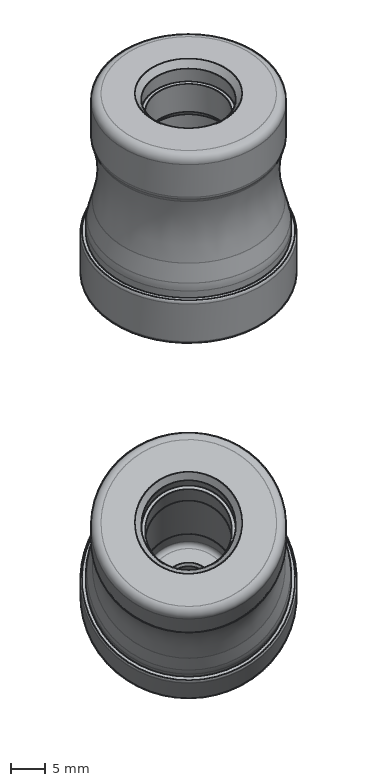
import cadquery as cq
import math

base_diameter = 31.75
base_radius = base_diameter / 2
base_height = 8.4
base_top_curve_radius = 0.6
base_top_curve_angle = math.radians(56)
base_bottom_fillet = 0.7

total_height = 34.92
head_radius = 14.3
head_bottom_z = 27.17
head_top_fillet = 1.45
head_underside_fillet = 1.8
waist_radius = 13.35
waist_z = 20.43
waist_curve_radius = 24.45
waist_curve_top_z = 26.1
shoulder_radius = 15.1
shoulder_bottom_z = 9.78
shoulder_fillet = 5.45
flare_angle = math.radians(14.5)

mouth_radius = 7.85
mouth_chamfer_depth = 1.1
counterbore_radius = 6.9
counterbore_depth = 3.6
bore_radius = 6.35
bore_depth = 8.97
cavity_radius = 6.9
cavity_cone_angle = math.radians(30)
cavity_cone_height = (cavity_radius - bore_radius) / math.tan(cavity_cone_angle)

recess_floor_z = 4.2
recess_floor_fillet = 0.85
hole_radius = 3.45
hole_chamfer = 0.42


def waist_point(angle):
    """Radius and height on the concave waist, at an angle above the waist centre."""
    radius = waist_radius + waist_curve_radius * (1 - math.cos(angle))
    return radius, waist_z + waist_curve_radius * math.sin(angle)


def convex_point(radius, level, curve_radius, angle):
    """Point reached after turning inward by an angle from a vertical wall."""
    inset = curve_radius * (1 - math.cos(angle))
    return radius - inset, level + curve_radius * math.sin(angle)


def make_knob():
    top_angle = math.asin((waist_curve_top_z - waist_z) / waist_curve_radius)
    head = (head_radius, head_bottom_z)
    head_mid = convex_point(*head, head_underside_fillet, -top_angle / 2)
    head_end = convex_point(*head, head_underside_fillet, -top_angle)
    shoulder = (shoulder_radius, shoulder_bottom_z)
    shoulder_mid = convex_point(*shoulder, shoulder_fillet, flare_angle / 2)
    shoulder_end = convex_point(*shoulder, shoulder_fillet, flare_angle)
    bore_end_z = total_height - bore_depth
    counterbore_z = total_height - counterbore_depth

    profile = (
        cq.Workplane("XZ")
        .moveTo(cavity_radius, base_height)
        .lineTo(shoulder_radius, base_height)
        .lineTo(*shoulder)
        .threePointArc(shoulder_mid, shoulder_end)
        .lineTo(*waist_point(-flare_angle))
        .threePointArc(waist_point(0), waist_point(top_angle))
        .lineTo(*head_end)
        .threePointArc(head_mid, head)
        .lineTo(head_radius, total_height)
        .lineTo(mouth_radius, total_height)
        .lineTo(counterbore_radius, total_height - mouth_chamfer_depth)
        .lineTo(counterbore_radius, counterbore_z)
        .lineTo(bore_radius, counterbore_z)
        .lineTo(bore_radius, bore_end_z)
        .lineTo(cavity_radius, bore_end_z - cavity_cone_height)
        .close()
    )
    knob = profile.revolve(360, (0, 0, 0), (0, 1, 0))
    outer_top_edge = cq.selectors.RadiusNthSelector(-1)
    return knob.faces(">Z").edges(outer_top_edge).fillet(head_top_fillet)


def make_base():
    rim = (base_radius, base_height - base_top_curve_radius * math.sin(base_top_curve_angle))
    rim_mid = convex_point(*rim, base_top_curve_radius, base_top_curve_angle / 2)
    rim_end = convex_point(*rim, base_top_curve_radius, base_top_curve_angle)
    profile = (
        cq.Workplane("XZ")
        .lineTo(base_radius, 0)
        .lineTo(*rim)
        .threePointArc(rim_mid, rim_end)
        .lineTo(0, base_height)
        .close()
    )
    base = profile.revolve(360, (0, 0, 0), (0, 1, 0))
    base = base.faces("<Z").edges().fillet(base_bottom_fillet)

    recess = (
        cq.Workplane("XY", origin=(0, 0, recess_floor_z))
        .circle(cavity_radius)
        .extrude(base_height - recess_floor_z)
        .faces("<Z").edges().fillet(recess_floor_fillet)
    )
    hole = cq.Workplane("XY").circle(hole_radius).extrude(recess_floor_z)
    countersink = cq.Workplane("XY").add(
        cq.Solid.makeCone(
            hole_radius,
            hole_radius + hole_chamfer,
            hole_chamfer,
            pnt=cq.Vector(0, 0, recess_floor_z - hole_chamfer),
        )
    )
    return base.cut(recess).cut(hole).cut(countersink)


knob = make_knob()
base = make_base()
result = cq.Compound.makeCompound([knob.val(), base.val()])